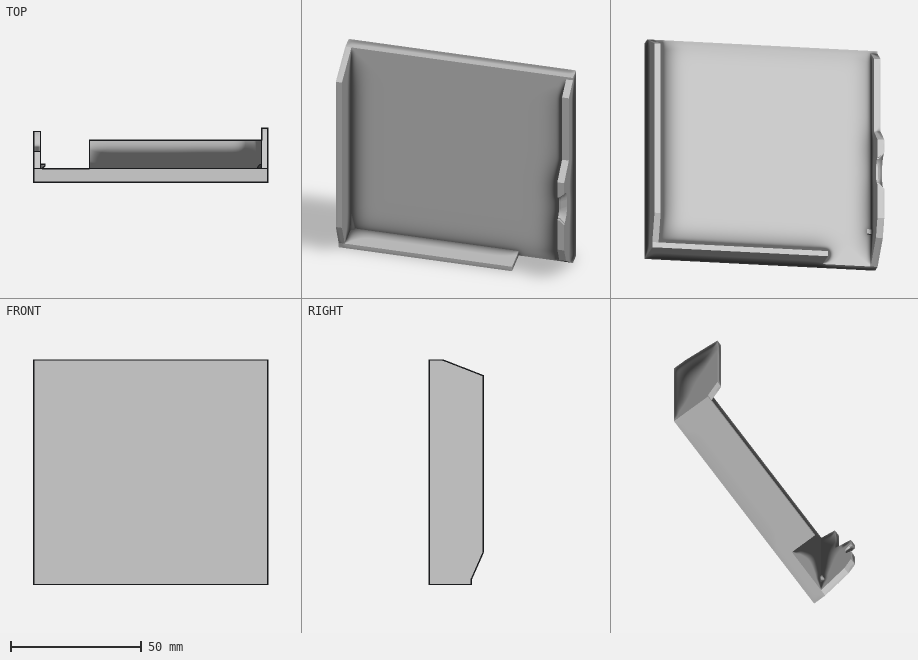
import cadquery as cq

WIDTH = 89.85
DEPTH = 20.85
HEIGHT = 86.2

PLATE_LEFT = 5.3
PLATE_RIGHT = 5.4

LEFT_WALL = 2.7
LEFT_DEPTH = 19.6
LEFT_BEND_DEPTH = 16.4
LEFT_BEND_Z = 8.4
LEFT_DEEP_BOTTOM = 15.4
LEFT_DEEP_TOP = 46.7
LEFT_STEP_DEPTH = 11.95
LEFT_STEP_BOTTOM = 52.1
LEFT_STEP_TOP = 81.1
LEFT_SLOPE_TOP = 85.1

RIGHT_WALL = 2.4
RIGHT_DEEP_BOTTOM = 12.5
RIGHT_DEEP_TOP = 80.15

SHELF_START = 21.4
SHELF_DEPTH = 16.3
SHELF_THICKNESS = 2.1

NOTCH_Y = 20.5
NOTCH_Z = 34.4
NOTCH_STRAIGHT = 3.3
NOTCH_OUTER_RADIUS = 5.6
NOTCH_INNER_RADIUS = 3.7
NOTCH_MOUTH_START = 18.6
SINK_ANGLE = 45.0

HOOK_WIDTH = 1.7
HOOK_ROOT = 0.6
HOOK_DEPTH = 1.7
HOOK_TIP = 0.6
HOOK_BOTTOM = 12.6
HOOK_TOP = 14.4

GUSSET_WIDTH = 1.5
GUSSET_HEIGHT = 7.2


def wall(outline, start, thickness):
    """Extrude a (Y, Z) outline along +X."""
    return cq.Workplane("YZ").workplane(offset=start).polyline(outline).close().extrude(thickness)


def make_plate():
    outline = [(0, 0), (WIDTH, 0), (WIDTH, PLATE_RIGHT), (0, PLATE_LEFT)]
    return cq.Workplane("XY").polyline(outline).close().extrude(HEIGHT)


def make_left_wall():
    outline = [
        (0, 0),
        (PLATE_LEFT, 0),
        (LEFT_BEND_DEPTH, LEFT_BEND_Z),
        (LEFT_DEPTH, LEFT_DEEP_BOTTOM),
        (LEFT_DEPTH, LEFT_DEEP_TOP),
        (LEFT_STEP_DEPTH, LEFT_STEP_BOTTOM),
        (LEFT_STEP_DEPTH, LEFT_STEP_TOP),
        (PLATE_LEFT, LEFT_SLOPE_TOP),
        (PLATE_LEFT, HEIGHT),
        (0, HEIGHT),
    ]
    return wall(outline, 0, LEFT_WALL)


def make_right_wall():
    outline = [
        (0, 0),
        (SHELF_DEPTH, 0),
        (SHELF_DEPTH, SHELF_THICKNESS),
        (DEPTH, RIGHT_DEEP_BOTTOM),
        (DEPTH, RIGHT_DEEP_TOP),
        (PLATE_RIGHT, HEIGHT),
        (0, HEIGHT),
    ]
    return wall(outline, WIDTH - RIGHT_WALL, RIGHT_WALL)


def make_shelf():
    size = (WIDTH - SHELF_START, SHELF_DEPTH, SHELF_THICKNESS)
    return cq.Workplane("XY").box(*size, centered=False).translate((SHELF_START, 0, 0))


def make_notch():
    """Countersunk slot, widest on the outer face, with a straight mouth to the wall edge."""
    sink_depth = NOTCH_OUTER_RADIUS - NOTCH_INNER_RADIUS
    plane = cq.Workplane("YZ").center(NOTCH_Y, NOTCH_Z)
    outer_length = NOTCH_STRAIGHT + 2 * NOTCH_OUTER_RADIUS
    inner_length = NOTCH_STRAIGHT + 2 * NOTCH_INNER_RADIUS
    sink = plane.slot2D(outer_length, 2 * NOTCH_OUTER_RADIUS, 90).extrude(sink_depth, taper=SINK_ANGLE)
    through = plane.slot2D(inner_length, 2 * NOTCH_INNER_RADIUS, 90).extrude(LEFT_WALL)
    mouth_outline = [
        (0, NOTCH_Z - outer_length / 2),
        (sink_depth, NOTCH_Z - inner_length / 2),
        (LEFT_WALL, NOTCH_Z - inner_length / 2),
        (LEFT_WALL, NOTCH_Z + inner_length / 2),
        (sink_depth, NOTCH_Z + inner_length / 2),
        (0, NOTCH_Z + outer_length / 2),
    ]
    mouth_plane = cq.Workplane("XZ", origin=(0, NOTCH_MOUTH_START, 0))
    mouth = mouth_plane.polyline(mouth_outline).close().extrude(NOTCH_MOUTH_START - DEPTH)
    return sink.union(through).union(mouth)


def make_hook():
    tip = PLATE_LEFT + HOOK_DEPTH
    outline = [
        (LEFT_WALL, PLATE_LEFT),
        (LEFT_WALL + HOOK_ROOT, PLATE_LEFT),
        (LEFT_WALL + HOOK_WIDTH, tip - HOOK_TIP),
        (LEFT_WALL + HOOK_WIDTH, tip),
        (LEFT_WALL, tip),
    ]
    hook = cq.Workplane("XY").workplane(offset=HOOK_BOTTOM).polyline(outline).close()
    return hook.extrude(HOOK_TOP - HOOK_BOTTOM)


def make_gusset():
    """Cone standing on the shelf, with its axis in the right-hand corner."""
    base = cq.Vector(WIDTH - RIGHT_WALL, PLATE_RIGHT, SHELF_THICKNESS)
    upward = cq.Vector(0, 0, 1)
    return cq.Workplane(cq.Solid.makeCone(GUSSET_WIDTH, 0, GUSSET_HEIGHT, base, upward))


result = (
    make_plate()
    .union(make_left_wall().cut(make_notch()))
    .union(make_right_wall())
    .union(make_shelf())
    .union(make_hook())
    .union(make_gusset())
)